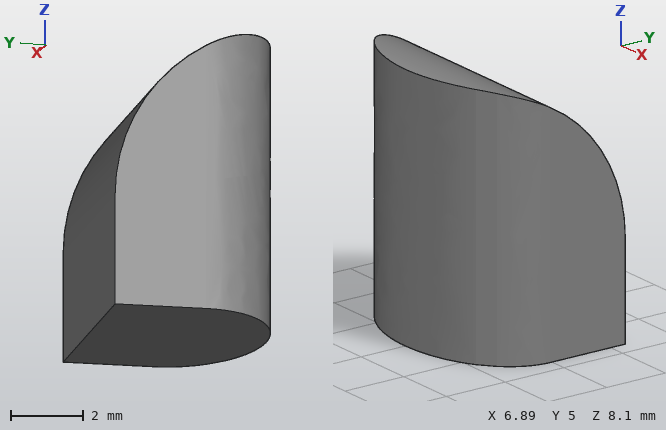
import cadquery as cq
import math

width = 6.89
depth = 5.0
height = 8.1

side_depth = 2.56
half_width = width / 2
nose_depth = depth - side_depth
y_back = depth / 2
y_side_end = y_back - side_depth
y_front = -depth / 2

flat_inner_x = 2.39
flat_outer_x = 2.85

crown_radius = depth
crown_start_z = height - crown_radius


def nose_point(angle):
    """Point of the nose ellipse at a parameter angle in radians."""
    return (half_width * math.cos(angle), y_side_end + nose_depth * math.sin(angle))


def nose_arc(outline, start, end):
    """Add the stretch of nose ellipse between two parameter angles."""
    return outline.ellipseArc(
        half_width,
        nose_depth,
        math.degrees(start),
        math.degrees(end),
        startAtCurrent=True,
    )


def make_body():
    """Upright body with the D-shaped plan outline."""
    flat_inner_angle = -math.acos(flat_inner_x / half_width)
    flat_outer_angle = -math.acos(flat_outer_x / half_width)
    outline = (
        cq.Workplane("XY")
        .moveTo(half_width, y_back)
        .lineTo(-half_width, y_back)
        .lineTo(-half_width, y_side_end)
    )
    outline = nose_arc(outline, -math.pi, flat_inner_angle)
    outline = outline.lineTo(*nose_point(flat_outer_angle))
    outline = nose_arc(outline, flat_outer_angle, 0)
    return outline.close().extrude(height)


def make_crown_envelope():
    """Side profile with the quarter-round top, swept across the full width."""
    middle_y = y_front + crown_radius * math.cos(math.pi / 4)
    middle_z = crown_start_z + crown_radius * math.sin(math.pi / 4)
    return (
        cq.Workplane("YZ")
        .moveTo(y_front, 0)
        .lineTo(y_back, 0)
        .lineTo(y_back, crown_start_z)
        .threePointArc((middle_y, middle_z), (y_front, height))
        .close()
        .extrude(half_width, both=True)
    )


result = make_body().intersect(make_crown_envelope())